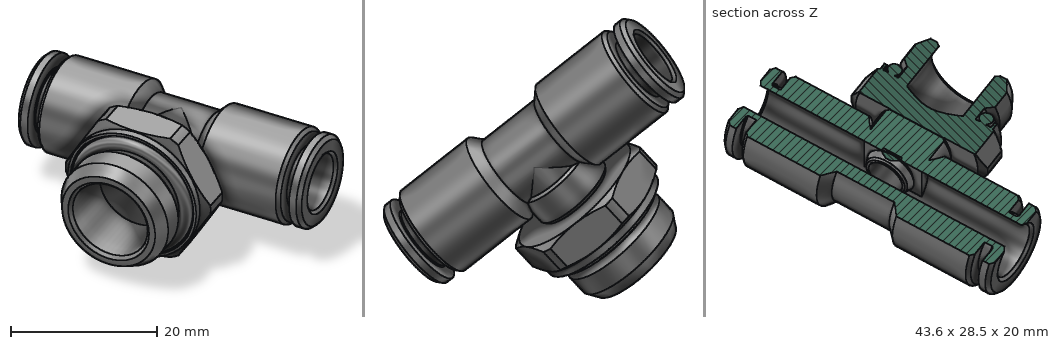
import cadquery as cq
import math


RUN_HALF_LENGTH = 21.8
BARREL_DIA = 14.0
BARREL_END = 18.7
BARREL_CHAMFER = 0.52
MIDDLE_DIA = 11.0
MIDDLE_HALF_LENGTH = 4.7
SHOULDER = (BARREL_DIA - MIDDLE_DIA) / 2
COLLET_DIA = 13.5
COLLET_FLANGE = 1.65
COLLET_CHAMFER = 0.55
COLLET_NECK_DIA = 9.3
COLLET_NECK_FLARE = 0.17
TUBE_BORE_DIA = 8.15
TUBE_BORE_CHAMFER = 0.45

BRANCH_DIA = 11.8
BRANCH_CONE_END_DEPTH = 4.1
BRANCH_CONE = (BRANCH_DIA - MIDDLE_DIA) / 2
BRANCH_END_CHAMFER = 0.5
BRANCH_END_CHAMFER_RADIAL = 0.3
LEDGE_DEPTH = 2.57

TIP_DEPTH = 0.75
TIP_DIA = 6.3
TIP_EDGE_DEPTH = 1.05
TIP_EDGE_DIA = 6.8
BARB_DEPTH = 2.05
BARB_DIA = 7.6
SHAFT_DIA = BARB_DIA - 2 * (LEDGE_DEPTH - BARB_DEPTH)

HEX_SIDES = 6
HEX_DEPTH = 8.55
HEX_HEIGHT = 4.93
HEX_FLATS = 20.0
HEX_CORNER_DIA = 22.32
HEX_CHAMFER_ANGLE = 30.0
COLLAR_DIA = 19.8
COLLAR_END_DEPTH = 14.55
SEAL_RECESS_DIA = 18.95
SEAL_OUTER_DIA = 18.5
SEAL_SECTION_RADIUS = 0.95
SEAL_CENTRE_DEPTH = 14.48
SEAL_SEATING = 0.1

OVERALL_Y = 28.5
STEM_END_DEPTH = OVERALL_Y - BARREL_DIA / 2
THREAD_DIA = 16.5
THREAD_RELIEF_DIA = 14.5
THREAD_RELIEF_END_DEPTH = 15.75
THREAD_END_CHAMFER = 1.85
THREAD_END_CHAMFER_ANGLE = 30.0
STEM_BORE_DIA = 11.5
STEM_BORE_CHAMFER = 0.5
STEM_BORE_DEPTH = 13.1
STEM_HOLE_DIA = 5.5
STEM_CONE_ANGLE = 59.0


def turned_on_x(profile):
    """Revolve (x, radius) points about the run axis."""
    return cq.Workplane("XY").polyline(profile).close().revolve(360, (0, 0, 0), (1, 0, 0))


def turned_on_y(profile):
    """Revolve (radius, depth) points about the stem axis."""
    points = [(radius, -depth) for radius, depth in profile]
    return cq.Workplane("XY").polyline(points).close().revolve(360, (0, 0, 0), (0, 1, 0))


def run_outside():
    barrel = BARREL_DIA / 2
    collet = COLLET_DIA / 2
    neck = COLLET_NECK_DIA / 2
    flange_back = RUN_HALF_LENGTH - COLLET_FLANGE
    half = [
        (MIDDLE_HALF_LENGTH, MIDDLE_DIA / 2),
        (MIDDLE_HALF_LENGTH + SHOULDER, barrel),
        (BARREL_END - BARREL_CHAMFER, barrel),
        (BARREL_END, barrel - BARREL_CHAMFER),
        (BARREL_END, neck),
        (flange_back - COLLET_NECK_FLARE, neck),
        (flange_back, neck + COLLET_NECK_FLARE),
        (flange_back, collet),
        (RUN_HALF_LENGTH - COLLET_CHAMFER, collet),
        (RUN_HALF_LENGTH, collet - COLLET_CHAMFER),
        (RUN_HALF_LENGTH, 0),
    ]
    mirrored = [(-x, radius) for x, radius in reversed(half)]
    return turned_on_x(mirrored + half)


def branch_outside():
    branch = BRANCH_DIA / 2
    return turned_on_y([
        (0, 0),
        (MIDDLE_DIA / 2, 0),
        (MIDDLE_DIA / 2, BRANCH_CONE_END_DEPTH - BRANCH_CONE),
        (branch, BRANCH_CONE_END_DEPTH),
        (branch, HEX_DEPTH - BRANCH_END_CHAMFER),
        (branch - BRANCH_END_CHAMFER_RADIAL, HEX_DEPTH),
        (0, HEX_DEPTH),
    ])


def tube_bore():
    bore = TUBE_BORE_DIA / 2
    mouth = bore + TUBE_BORE_CHAMFER
    chamfer_start = RUN_HALF_LENGTH - TUBE_BORE_CHAMFER
    passage = turned_on_x([
        (-RUN_HALF_LENGTH, 0),
        (-RUN_HALF_LENGTH, mouth),
        (-chamfer_start, bore),
        (chamfer_start, bore),
        (RUN_HALF_LENGTH, mouth),
        (RUN_HALF_LENGTH, 0),
    ])
    ledge = (
        cq.Workplane("XY")
        .box(2 * MIDDLE_HALF_LENGTH, BARREL_DIA, BARREL_DIA)
        .translate((0, -LEDGE_DEPTH - BARREL_DIA / 2, 0))
    )
    return passage.cut(ledge)


def stem_socket():
    """Hole for the shaft, widened above the ledge to clear the barb."""
    return turned_on_y([
        (0, 0),
        (BARB_DIA / 2, 0),
        (BARB_DIA / 2, LEDGE_DEPTH),
        (SHAFT_DIA / 2, LEDGE_DEPTH),
        (SHAFT_DIA / 2, HEX_DEPTH),
        (0, HEX_DEPTH),
    ])


def make_tee():
    return run_outside().union(branch_outside()).cut(tube_bore()).cut(stem_socket())


def stem_shaft():
    return turned_on_y([
        (0, TIP_DEPTH),
        (TIP_DIA / 2, TIP_DEPTH),
        (TIP_EDGE_DIA / 2, TIP_EDGE_DEPTH),
        (BARB_DIA / 2, BARB_DEPTH),
        (SHAFT_DIA / 2, LEDGE_DEPTH),
        (SHAFT_DIA / 2, HEX_DEPTH),
        (0, HEX_DEPTH),
    ])


def stem_hexagon():
    corner_circle = HEX_FLATS / math.cos(math.pi / HEX_SIDES)
    prism = (
        cq.Workplane("XZ")
        .workplane(offset=HEX_DEPTH)
        .polygon(HEX_SIDES, corner_circle)
        .extrude(HEX_HEIGHT)
    )
    corner = HEX_CORNER_DIA / 2
    flat = HEX_FLATS / 2
    collar = COLLAR_DIA / 2
    chamfer_slope = math.tan(math.radians(HEX_CHAMFER_ANGLE))
    end = HEX_DEPTH + HEX_HEIGHT
    turned_blank = turned_on_y([
        (0, HEX_DEPTH),
        (flat, HEX_DEPTH),
        (corner, HEX_DEPTH + (corner - flat) * chamfer_slope),
        (corner, end - (corner - collar) * chamfer_slope),
        (collar, end),
        (0, end),
    ])
    return prism.intersect(turned_blank)


def stem_collar_and_thread():
    collar = COLLAR_DIA / 2
    thread = THREAD_DIA / 2
    relief = THREAD_RELIEF_DIA / 2
    recess = SEAL_RECESS_DIA / 2
    recess_floor = SEAL_CENTRE_DEPTH - SEAL_SECTION_RADIUS + SEAL_SEATING
    start = HEX_DEPTH + HEX_HEIGHT
    end_narrowing = THREAD_END_CHAMFER * math.tan(math.radians(THREAD_END_CHAMFER_ANGLE))
    return turned_on_y([
        (0, start),
        (collar, start),
        (collar, COLLAR_END_DEPTH),
        (recess, COLLAR_END_DEPTH),
        (recess, recess_floor),
        (relief, recess_floor),
        (relief, THREAD_RELIEF_END_DEPTH),
        (thread, THREAD_RELIEF_END_DEPTH + thread - relief),
        (thread, STEM_END_DEPTH - THREAD_END_CHAMFER),
        (thread - end_narrowing, STEM_END_DEPTH),
        (0, STEM_END_DEPTH),
    ])


def seal_ring():
    ring_radius = SEAL_OUTER_DIA / 2 - SEAL_SECTION_RADIUS
    return (
        cq.Workplane("XY")
        .center(ring_radius, -SEAL_CENTRE_DEPTH)
        .circle(SEAL_SECTION_RADIUS)
        .revolve(360, (-ring_radius, 0, 0), (-ring_radius, 1, 0))
    )


def stem_passage():
    hole = STEM_HOLE_DIA / 2
    bore = STEM_BORE_DIA / 2
    cone = (bore - hole) / math.tan(math.radians(STEM_CONE_ANGLE))
    return turned_on_y([
        (0, TIP_DEPTH),
        (hole, TIP_DEPTH),
        (hole, STEM_BORE_DEPTH - cone),
        (bore, STEM_BORE_DEPTH),
        (bore, STEM_END_DEPTH - STEM_BORE_CHAMFER),
        (bore + STEM_BORE_CHAMFER, STEM_END_DEPTH),
        (0, STEM_END_DEPTH),
    ])


def make_stem():
    outside = stem_shaft().union(stem_hexagon()).union(stem_collar_and_thread()).union(seal_ring())
    return outside.cut(stem_passage())


tee = make_tee()
stem = make_stem()
result = cq.Compound.makeCompound([tee.solids().val(), stem.solids().val()])